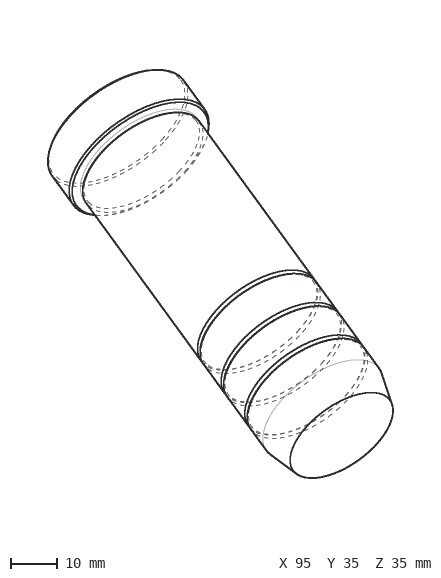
import cadquery as cq
import math

length = 95.0
head_radius = 35.0 / 2
head_length = 10.0
head_chamfer = 0.5
shaft_radius = 30.0 / 2

groove_width = 1.0
groove_depth = 0.5
first_groove_x = 60.0
groove_pitch = 10.0
groove_count = 3

lead_length = 8.0
lead_start_x = length - lead_length
lead_angle = 15
tip_radius = shaft_radius - lead_length * math.tan(math.radians(lead_angle))


def add_groove(profile, center_x):
    """Run the shaft outline up to a groove and through its arc."""
    start_x = center_x - groove_width / 2
    end_x = center_x + groove_width / 2
    return profile.lineTo(start_x, shaft_radius).threePointArc(
        (center_x, shaft_radius - groove_depth), (end_x, shaft_radius)
    )


profile = (
    cq.Workplane("XY")
    .lineTo(0, head_radius - head_chamfer)
    .lineTo(head_chamfer, head_radius)
    .lineTo(head_length - head_chamfer, head_radius)
    .lineTo(head_length, head_radius - head_chamfer)
)

profile = add_groove(profile, head_length + groove_width / 2)
for index in range(groove_count):
    profile = add_groove(profile, first_groove_x + index * groove_pitch)

profile = (
    profile.lineTo(lead_start_x, shaft_radius)
    .lineTo(length, tip_radius)
    .lineTo(length, 0)
    .close()
)

result = profile.revolve(360, (0, 0, 0), (1, 0, 0))